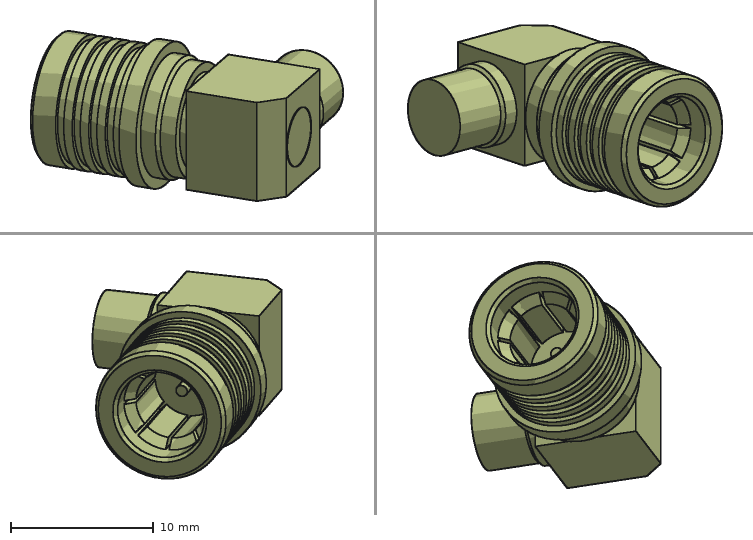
import cadquery as cq


sleeve_length = 9.76
sleeve_radius = 4.78
waist_radius = 4.45
flange_radius = 5.25
flange_start = 7.07
flange_width = 1.3
edge_chamfer = 0.26
groove_count = 4
groove_start = 2.03
groove_width = 0.61
groove_pitch = 1.26
bore_radius = 3.18

collar_front = 1.8
collar_bore_radius = 2.51
lead_in_length = bore_radius - collar_bore_radius
collar_floor = flange_start
slot_count = 8
slot_width = 0.26

pin_radius = 0.4
pin_length = 1.86

shoulder_radius = waist_radius - edge_chamfer
shoulder_length = 1.19
neck_radius = 3.5
neck_length = 0.6

total_length = 18.6
pad_radius = 2.12
pad_height = 0.05
block_half_width = 3.74
block_start = sleeve_length + shoulder_length + neck_length
block_end = total_length - pad_height
block_chamfer = 1.58

barrel_x = 15.38
barrel_end = 8.85
barrel_radius = 2.75
base_radius = 3.0
base_end = 5.02


def cylinder_x(radius, start, end):
    """Solid cylinder on the X axis between two x positions."""
    return cq.Workplane("YZ", origin=(start, 0, 0)).circle(radius).extrude(end - start)


def cylinder_y(radius, start, end):
    """Solid cylinder on the barrel axis between two y positions."""
    return cq.Workplane("XZ", origin=(barrel_x, start, 0)).circle(radius).extrude(start - end)


def make_sleeve():
    flange_end = flange_start + flange_width
    sleeve = cylinder_x(sleeve_radius, 0, flange_start).faces("<X").chamfer(edge_chamfer)
    for index in range(groove_count):
        start = groove_start + index * groove_pitch
        band = cylinder_x(flange_radius, start, start + groove_width)
        sleeve = sleeve.cut(band.cut(cylinder_x(waist_radius, start, start + groove_width)))
    rear = cylinder_x(waist_radius, flange_end, sleeve_length).faces(">X").chamfer(edge_chamfer)
    sleeve = sleeve.union(cylinder_x(flange_radius, flange_start, flange_end)).union(rear)

    sleeve = sleeve.cut(cylinder_x(bore_radius, 0, sleeve_length))
    mouth = cq.Solid.makeCone(
        bore_radius + edge_chamfer, bore_radius, edge_chamfer, cq.Vector(0, 0, 0), cq.Vector(1, 0, 0)
    )
    return sleeve.cut(cq.Workplane(mouth))


def make_collar():
    """Spring fingers with a conical lead-in, around the center pin."""
    collar = cylinder_x(bore_radius, collar_front, sleeve_length)
    collar = collar.cut(cylinder_x(collar_bore_radius, collar_front, collar_floor))
    lead_in = cq.Solid.makeCone(
        bore_radius, collar_bore_radius, lead_in_length, cq.Vector(collar_front, 0, 0), cq.Vector(1, 0, 0)
    )
    collar = collar.cut(cq.Workplane(lead_in))

    slot = cq.Workplane("XY").box(
        collar_floor - collar_front, 2 * bore_radius, slot_width, centered=(False, False, True)
    ).translate((collar_front, 0, 0))
    for index in range(slot_count):
        collar = collar.cut(slot.rotate((0, 0, 0), (1, 0, 0), index * 360 / slot_count))

    return collar.union(cylinder_x(pin_radius, collar_floor - pin_length, collar_floor))


def make_block():
    block = cq.Workplane("XY").box(block_end - block_start, 2 * block_half_width, 2 * block_half_width)
    block = block.edges(">X and <Y").chamfer(block_chamfer)
    block = block.translate(((block_start + block_end) / 2, 0, 0))
    return block.union(cylinder_x(pad_radius, block_end, total_length))


def make_barrel():
    base = cylinder_y(base_radius, block_half_width, base_end)
    base = base.faces(">Y").chamfer(base_radius - barrel_radius)
    return base.union(cylinder_y(barrel_radius, block_half_width, barrel_end))


def make_elbow():
    shoulder_end = sleeve_length + shoulder_length
    shoulder = cylinder_x(shoulder_radius, sleeve_length, shoulder_end)
    neck = cylinder_x(neck_radius, shoulder_end, block_start)
    return make_collar().union(shoulder).union(neck).union(make_block()).union(make_barrel())


sleeve = make_sleeve()
elbow = make_elbow()
result = cq.Compound.makeCompound([sleeve.val(), elbow.val()])